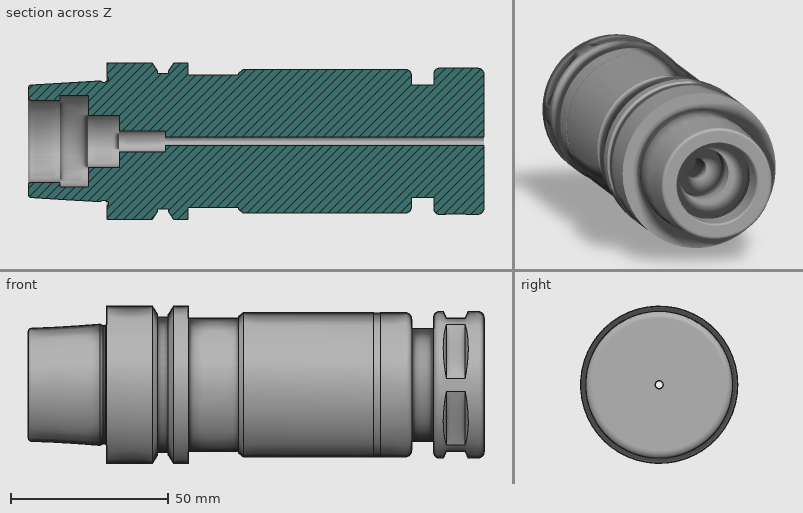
import cadquery as cq

length = 145.0

tip_radius = 18.0
tip_fillet = 1.0
taper_end_x = 22.8
taper_end_radius = 19.3
neck_start_x = 23.8
neck_end_x = 24.5
neck_radius = 18.8

flange_x = 25.0
flange_end_x = 50.9
flange_radius = 50.0 / 2
relief_radius = 20.3
relief_depth = 0.6
groove_start_x = 39.5
groove_floor_start_x = 41.2
groove_floor_end_x = 44.5
groove_end_x = 46.3
groove_wall_radius = 22.3
groove_radius = 21.6

waist_radius = 21.2
body_x = 66.8
body_end_x = 122.0
body_radius = 46.0 / 2
body_chamfer_length = 1.6
body_chamfer_depth = 1.3
body_end_fillet = 2.2

ring_x = 109.8
ring_width = 2.2
ring_depth = 0.07

nut_neck_radius = 18.0
nut_x = 128.9
nut_radius = 23.3
nut_back_fillet = 1.9
nut_front_fillet = 2.2

flat_count = 6
flat_radius = 21.2
flat_start_x = 133.0
flat_end_x = 138.9
flat_wall_lean = 1.0

socket_diameter = 26.0
socket_depth = 19.1
bore_steps = [(16.4, 29.0), (6.5, 43.5), (2.5, length)]
mouth_chamfer_width = 0.5
mouth_chamfer_depth = 0.9

undercut_x = 10.2
undercut_radius = 14.5


def turned_blank():
    """Outer contour of the shank, flange, body and nut, revolved about X."""
    relief_floor_x = flange_x + relief_depth
    ring_radius = body_radius - ring_depth
    return (
        cq.Workplane("XY")
        .lineTo(0, tip_radius - tip_fillet)
        .radiusArc((tip_fillet, tip_radius), tip_fillet)
        .lineTo(taper_end_x, taper_end_radius)
        .lineTo(neck_start_x, neck_radius)
        .lineTo(neck_end_x, neck_radius)
        .lineTo(flange_x, taper_end_radius)
        .lineTo(relief_floor_x, taper_end_radius)
        .lineTo(relief_floor_x, relief_radius)
        .lineTo(flange_x, relief_radius)
        .lineTo(flange_x, flange_radius)
        .lineTo(groove_start_x, flange_radius)
        .lineTo(groove_floor_start_x, groove_wall_radius)
        .lineTo(groove_floor_start_x, groove_radius)
        .lineTo(groove_floor_end_x, groove_radius)
        .lineTo(groove_floor_end_x, groove_wall_radius)
        .lineTo(groove_end_x, flange_radius)
        .lineTo(flange_end_x, flange_radius)
        .lineTo(flange_end_x, waist_radius)
        .lineTo(body_x, waist_radius)
        .lineTo(body_x, body_radius - body_chamfer_depth)
        .lineTo(body_x + body_chamfer_length, body_radius)
        .lineTo(ring_x, body_radius)
        .lineTo(ring_x, ring_radius)
        .lineTo(ring_x + ring_width, ring_radius)
        .lineTo(ring_x + ring_width, body_radius)
        .lineTo(body_end_x - body_end_fillet, body_radius)
        .radiusArc((body_end_x, body_radius - body_end_fillet), body_end_fillet)
        .lineTo(body_end_x, nut_neck_radius)
        .lineTo(nut_x, nut_neck_radius)
        .lineTo(nut_x, nut_radius - nut_back_fillet)
        .radiusArc((nut_x + nut_back_fillet, nut_radius), nut_back_fillet)
        .lineTo(length - nut_front_fillet, nut_radius)
        .radiusArc((length, nut_radius - nut_front_fillet), nut_front_fillet)
        .lineTo(length, 0)
        .close()
        .revolve(360, (0, 0, 0), (1, 0, 0))
    )


def wrench_flat():
    """Cutter for the topmost flat: a slot across the nut with outward-leaning end walls."""
    return (
        cq.Workplane("XZ")
        .moveTo(flat_start_x, flat_radius)
        .lineTo(flat_end_x, flat_radius)
        .lineTo(flat_end_x + flat_wall_lean, nut_radius)
        .lineTo(flat_start_x - flat_wall_lean, nut_radius)
        .close()
        .extrude(nut_radius, both=True)
    )


def bore():
    """Cutter for the coaxial bore: socket with chamfered mouth and undercut, then narrower steps."""
    socket_radius = socket_diameter / 2
    cutter = (
        cq.Workplane("XY")
        .lineTo(0, socket_radius + mouth_chamfer_width)
        .lineTo(mouth_chamfer_depth, socket_radius)
        .lineTo(undercut_x, socket_radius)
        .lineTo(undercut_x, undercut_radius)
        .lineTo(socket_depth, undercut_radius)
        .lineTo(socket_depth, 0)
        .close()
        .revolve(360, (0, 0, 0), (1, 0, 0))
    )
    for diameter, depth in bore_steps:
        cutter = cutter.union(cq.Workplane("YZ").circle(diameter / 2).extrude(depth))
    return cutter


result = turned_blank().cut(bore())
for index in range(flat_count):
    angle = index * 360 / flat_count
    result = result.cut(wrench_flat().rotate((0, 0, 0), (1, 0, 0), angle))